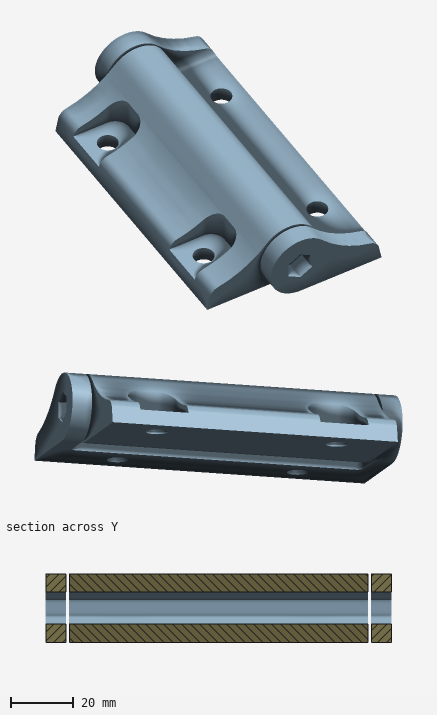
import cadquery as cq
import math

hinge_length = 110.0
base_half_depth = 30.0
barrel_radius = 11.0
axis_height = barrel_radius

flank_radius = 35.0
toe_radius = 4.0
toe_start_height = 5.0
toe_start_depth = 29.0

ear_thickness = 6.5
running_gap = 1.0
ear_gap_half = hinge_length / 2 - ear_thickness
barrel_half_length = ear_gap_half - running_gap
floor_height = toe_start_height
plate_front = barrel_radius + running_gap
ear_root_radius = 3.0
plate_corner_radius = 2.0

hole_diameter = 7.0
hole_columns = (-30.0, 30.0)
hole_offset = 21.0
pocket_width = 16.0
pocket_corner_radius = 5.0
pocket_back = 11.5
hex_across_corners = 10.0

part_height = axis_height + barrel_radius
overshoot = 5.0


def point_between(start, end, distance):
    """Point on the line from start towards end, at the given distance from start."""
    span = math.dist(start, end)
    return tuple(a + (b - a) * distance / span for a, b in zip(start, end))


def circle_crossing(center_a, radius_a, center_b, radius_b):
    """Crossing point of two circles that lies to the right of the line from a to b."""
    span = math.dist(center_a, center_b)
    along = (span**2 + radius_a**2 - radius_b**2) / (2 * span)
    across = math.sqrt(radius_a**2 - along**2)
    dy = (center_b[0] - center_a[0]) / span
    dz = (center_b[1] - center_a[1]) / span
    return (center_a[0] + along * dy + across * dz, center_a[1] + along * dz - across * dy)


def leaf_profile(side, half_length):
    """Leaf outline extruded along X; side is +1 for a leaf towards +Y, -1 for -Y."""
    axis = (0.0, axis_height)
    heel = (base_half_depth, 0.0)
    toe_start = (toe_start_depth, toe_start_height)

    slope_length = math.dist(heel, toe_start)
    normal_y = toe_start_height / slope_length
    normal_z = (base_half_depth - toe_start_depth) / slope_length
    toe_center = (toe_start[0] - toe_radius * normal_y, toe_start[1] - toe_radius * normal_z)

    flank_center = circle_crossing(
        toe_center, toe_radius + flank_radius, axis, barrel_radius + flank_radius
    )
    flank_top = point_between(axis, flank_center, barrel_radius)
    flank_end = point_between(toe_center, flank_center, toe_radius)
    toe_chord = ((toe_start[0] + flank_end[0]) / 2, (toe_start[1] + flank_end[1]) / 2)
    flank_chord = ((flank_top[0] + flank_end[0]) / 2, (flank_top[1] + flank_end[1]) / 2)
    toe_mid = point_between(toe_center, toe_chord, toe_radius)
    flank_mid = point_between(flank_center, flank_chord, flank_radius)

    def placed(point):
        return (side * point[0], point[1])

    return (
        cq.Workplane("YZ", origin=(-half_length, 0, 0))
        .moveTo(0, 0)
        .lineTo(*placed(heel))
        .lineTo(*placed(toe_start))
        .threePointArc(placed(toe_mid), placed(flank_end))
        .threePointArc(placed(flank_mid), placed(flank_top))
        .threePointArc(placed((-barrel_radius, axis_height)), (0, 0))
        .close()
        .extrude(2 * half_length)
    )


def screw_holes(side):
    """Upright cylinders for the two screw holes of one leaf."""
    places = [(x, side * hole_offset) for x in hole_columns]
    return cq.Workplane("XY").pushPoints(places).circle(hole_diameter / 2).extrude(part_height)


def hex_bore():
    """Hexagonal bar along the pivot axis, with corners up and down."""
    return (
        cq.Workplane("YZ", origin=(-hinge_length / 2, 0, axis_height))
        .polygon(6, hex_across_corners)
        .extrude(hinge_length)
        .rotate((0, 0, axis_height), (1, 0, axis_height), 90)
    )


def ear_gap():
    """Space between the ears: right through in front of the plate, down to the floor above it."""
    width = 2 * ear_gap_half
    barrel_space = (
        cq.Workplane("XY")
        .box(width, plate_front + base_half_depth, part_height, centered=(True, False, False))
        .translate((0, -base_half_depth, 0))
        .edges("|Z and >Y")
        .fillet(plate_corner_radius)
    )
    plate_space = (
        cq.Workplane("XY", origin=(0, 0, floor_height))
        .box(width, base_half_depth + overshoot, part_height, centered=(True, False, False))
        .edges("|Y and <Z")
        .fillet(ear_root_radius)
    )
    return barrel_space.union(plate_space)


def screw_pockets():
    """Round-cornered recesses that open onto the sloping side of the barrel leaf."""
    length = base_half_depth + overshoot - pocket_back
    pocket = (
        cq.Workplane("XY")
        .box(pocket_width, length, part_height, centered=(True, False, False))
        .edges("|Z and >Y")
        .fillet(pocket_corner_radius)
        .translate((0, -pocket_back - length, floor_height))
    )
    pockets = cq.Workplane("XY")
    for x in hole_columns:
        pockets = pockets.add(pocket.translate((x, 0, 0)))
    return pockets.combine()


def make_ear_leaf():
    """Leaf towards +Y: a plate with an ear at each end."""
    body = leaf_profile(1, hinge_length / 2)
    return body.cut(ear_gap()).cut(screw_holes(1)).cut(hex_bore())


def make_barrel_leaf():
    """Leaf towards -Y: the barrel that turns between the ears."""
    body = leaf_profile(-1, barrel_half_length)
    return body.cut(screw_pockets()).cut(screw_holes(-1)).cut(hex_bore())


ear_leaf = make_ear_leaf()
barrel_leaf = make_barrel_leaf()
result = cq.Compound.makeCompound([ear_leaf.val(), barrel_leaf.val()])